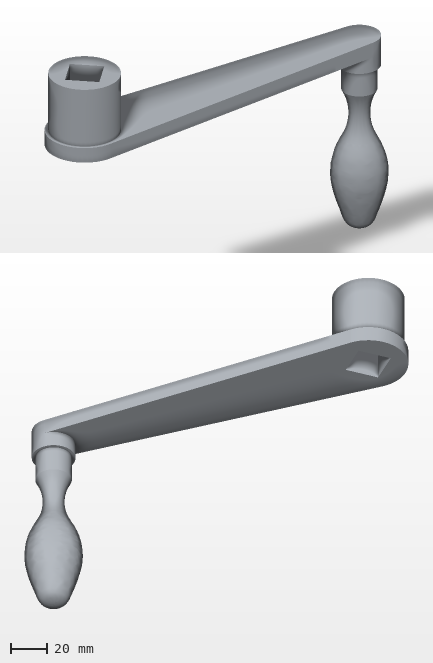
import cadquery as cq
import math

arm_length = 188.0
arm_thickness = 9.0
arm_hub_end_radius = 22.0
arm_handle_end_radius = 12.0

hub_diameter = 40.0
hub_height = 35.0
square_side = 19.0

boss_height = 9.0
collar_diameter = 20.0
collar_height = 15.0
neck_height = 30.0
waist_diameter = 12.0
grip_height = 55.0
grip_diameter = 32.1
grip_belly_depth = 23.0
nose_diameter = 20.0
nose_depth = 47.0


def make_arm():
    """Flat arm: two round ends joined by their common tangent lines."""
    lean = (arm_hub_end_radius - arm_handle_end_radius) / arm_length
    spread = math.sqrt(1 - lean**2)
    hub_x = arm_hub_end_radius * spread
    hub_y = arm_hub_end_radius * lean
    handle_x = arm_handle_end_radius * spread
    handle_y = arm_length + arm_handle_end_radius * lean
    return (
        cq.Workplane("XY")
        .moveTo(hub_x, hub_y)
        .lineTo(handle_x, handle_y)
        .threePointArc((0, arm_length + arm_handle_end_radius), (-handle_x, handle_y))
        .lineTo(-hub_x, hub_y)
        .threePointArc((0, -arm_hub_end_radius), (hub_x, hub_y))
        .close()
        .extrude(arm_thickness)
    )


def make_hub():
    """Cylinder standing on the arm, concentric with its wide end."""
    return cq.Workplane("XY").circle(hub_diameter / 2).extrude(arm_thickness + hub_height)


def make_square_hole():
    """Square prism through the hub and the arm, turned 45 degrees."""
    return (
        cq.Workplane("XY")
        .transformed(rotate=(0, 0, 45))
        .rect(square_side, square_side)
        .extrude(arm_thickness + hub_height)
    )


def make_handle():
    """Turned handle hanging below the narrow end of the arm."""
    collar_radius = collar_diameter / 2
    waist_radius = waist_diameter / 2
    grip_radius = grip_diameter / 2
    collar_top = -boss_height
    neck_top = collar_top - collar_height
    neck_bottom = neck_top - neck_height
    tip = neck_bottom - grip_height

    neck_end_angle = 2 * math.atan2(collar_radius - waist_radius, neck_height / 2)
    neck_end_direction = (math.sin(neck_end_angle), -math.cos(neck_end_angle))
    tip_direction = (-1, 0)
    grip_points = [
        (grip_radius, neck_bottom - grip_belly_depth),
        (nose_diameter / 2, neck_bottom - nose_depth),
        (0, tip),
    ]

    profile = (
        cq.Workplane("XZ")
        .moveTo(0, arm_thickness)
        .lineTo(arm_handle_end_radius, arm_thickness)
        .lineTo(arm_handle_end_radius, collar_top)
        .lineTo(collar_radius, collar_top)
        .lineTo(collar_radius, neck_top)
        .threePointArc((waist_radius, neck_top - neck_height / 2), (collar_radius, neck_bottom))
        .spline(grip_points, tangents=[neck_end_direction, tip_direction], includeCurrent=True)
        .close()
    )
    return profile.revolve(360, (0, 0), (0, 1)).translate((0, arm_length, 0))


result = make_arm().union(make_hub()).union(make_handle()).cut(make_square_hole())